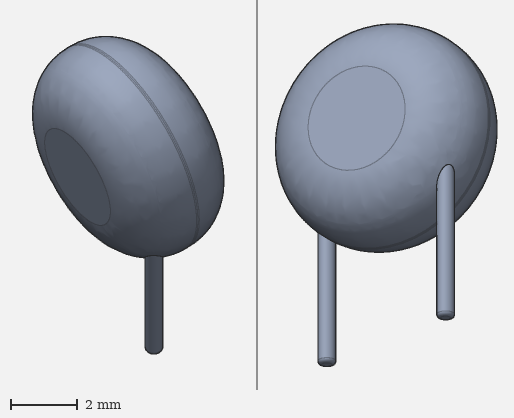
import cadquery as cq

total_height = 10.03
body_diameter = 7.0
body_thickness = 3.8
rim_band_width = 0.1
lead_diameter = 0.54
lead_offset_x = 2.5
lead_offset_y = 0.9
lead_tip_radius = 0.12

body_radius = body_diameter / 2
edge_radius = (body_thickness - rim_band_width) / 2
lead_length = total_height - body_radius


def make_body():
    """Rounded disc with a flat circular face on each side."""
    disc = cq.Workplane("XZ").circle(body_radius).extrude(body_thickness / 2, both=True)
    return disc.edges("%CIRCLE").fillet(edge_radius)


def make_lead(x, y):
    """Vertical round wire from the body's mid-height down to a rounded tip."""
    wire = cq.Workplane("XY").center(x, y).circle(lead_diameter / 2).extrude(-lead_length)
    return wire.faces("<Z").edges().fillet(lead_tip_radius)


result = make_body()
for side in (-1, 1):
    result = result.union(make_lead(side * lead_offset_x, -side * lead_offset_y))